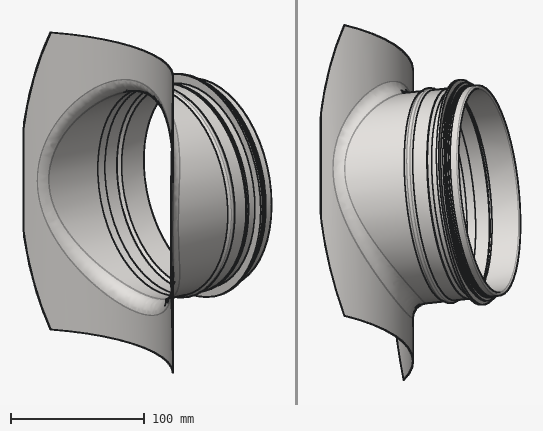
import cadquery as cq
import math

overall_width = 180.0
overall_depth = 104.61
overall_height = 231.0
wall = 0.5

cut_margin = 1.0

saddle_bore = 124.5
saddle_radius = saddle_bore + wall
end_width = 150.0
side_trim_radius = 436.0
collar_fillet = 10.5

pipe_radius = 79.3
pipe_bore = pipe_radius - wall
saddle_edge_y = math.sqrt(saddle_bore**2 - (overall_width / 2) ** 2)
mouth_y = saddle_edge_y + overall_depth

neck_radius = 77.7
neck_bore = 76.6
rim_length = 6.2
neck_end = 21.3
neck_slope_length = 2.8
inner_slope_offset = 0.6

bead_start = 35.6
bead_crest_start = 37.6
bead_crest_end = 40.1
bead_end = 42.3
bead_shoulder_radius = 80.6
bead_crest_radius = 81.1

band_radius = 80.1
band_start = 7.6
band_end = 9.2
band_end_radius = 79.9
outer_lip_radius = 82.2
outer_lip_start = 9.8
outer_lip_end = 11.1
inner_lip_radius = 84.7
inner_lip_start = 13.6
seal_end = 15.4


def pipe_section():
    """Half section of the pipe wall: x is the radius, y the distance behind the mouth."""
    plane = cq.Plane(origin=(0, mouth_y, 0), xDir=(1, 0, 0), normal=(0, 0, -1))
    return cq.Workplane(plane)


def revolve_section(section):
    return section.close().revolve(360, (0, 0, 0), (0, 1, 0))


def blended_tee(duct_radius, branch_radius, fillet_radius):
    """Upper half of a round bar along Z, with a round branch toward +Y blended into it."""
    bar = (
        cq.Workplane("XY")
        .moveTo(-duct_radius, 0)
        .threePointArc((0, duct_radius), (duct_radius, 0))
        .close()
        .extrude(overall_height / 2, both=True)
    )
    branch = cq.Workplane("XZ").circle(branch_radius).extrude(-mouth_y)
    reach = branch_radius + cut_margin
    meeting_box = cq.selectors.BoxSelector(
        (-reach, cut_margin, -reach),
        (reach, duct_radius + cut_margin, reach),
    )
    return bar.union(branch).edges(meeting_box).fillet(fillet_radius)


def side_trim():
    """Region kept when the saddle sides are cut to width and to arcs running across X."""
    corner_y = math.sqrt(saddle_radius**2 - (end_width / 2) ** 2)
    arc_center_y = corner_y + math.sqrt(side_trim_radius**2 - (overall_height / 2) ** 2)
    return (
        cq.Workplane("YZ")
        .center(arc_center_y, 0)
        .circle(side_trim_radius)
        .extrude(overall_width / 2, both=True)
    )


def neck_recess():
    """Ring removed outside the neck, between the rim and the slope up to full size."""
    return revolve_section(
        pipe_section()
        .moveTo(neck_radius, rim_length)
        .lineTo(neck_radius, neck_end)
        .lineTo(pipe_radius, neck_end + neck_slope_length)
        .lineTo(pipe_radius + cut_margin, neck_end + neck_slope_length)
        .lineTo(pipe_radius + cut_margin, rim_length)
    )


def neck_lining():
    """Ring added inside the pipe, from the mouth to the end of the inner slope."""
    slope_start = neck_end + inner_slope_offset
    slope_end = slope_start + neck_slope_length
    return revolve_section(
        pipe_section()
        .moveTo(neck_bore, 0)
        .lineTo(neck_bore, slope_start)
        .lineTo(pipe_bore, slope_end)
        .lineTo(pipe_bore + wall / 2, slope_end)
        .lineTo(pipe_bore + wall / 2, 0)
    )


def bead():
    crest_middle = (bead_crest_start + bead_crest_end) / 2
    return revolve_section(
        pipe_section()
        .moveTo(pipe_bore, bead_start)
        .lineTo(pipe_radius, bead_start)
        .lineTo(bead_shoulder_radius, bead_crest_start)
        .threePointArc((bead_crest_radius, crest_middle), (bead_shoulder_radius, bead_crest_end))
        .lineTo(pipe_radius, bead_end)
        .lineTo(pipe_bore, bead_end)
    )


def mouth_rounding():
    """Ring removed at the mouth to leave a fully round rolled edge."""
    edge_radius = (pipe_radius - neck_bore) / 2
    return revolve_section(
        pipe_section()
        .moveTo(neck_bore, edge_radius)
        .threePointArc((neck_bore + edge_radius, 0), (pipe_radius, edge_radius))
        .lineTo(pipe_radius + cut_margin, edge_radius)
        .lineTo(pipe_radius + cut_margin, -cut_margin)
        .lineTo(neck_bore - cut_margin, -cut_margin)
        .lineTo(neck_bore - cut_margin, edge_radius)
    )


def make_saddle_collar():
    outside = blended_tee(saddle_radius, pipe_radius, collar_fillet)
    inside = blended_tee(saddle_bore, pipe_bore, collar_fillet + wall)
    shell = outside.cut(inside).intersect(side_trim())
    return shell.union(neck_lining()).union(bead()).cut(neck_recess()).cut(mouth_rounding())


def make_seal():
    return revolve_section(
        pipe_section()
        .moveTo(neck_radius, rim_length)
        .lineTo(pipe_radius, rim_length)
        .lineTo(pipe_radius, band_start)
        .lineTo(band_radius, band_start)
        .lineTo(band_end_radius, band_end)
        .lineTo(pipe_radius, band_end)
        .lineTo(pipe_radius, outer_lip_start)
        .lineTo(outer_lip_radius, outer_lip_start)
        .lineTo(outer_lip_radius, outer_lip_end)
        .lineTo(pipe_radius, outer_lip_end)
        .lineTo(pipe_radius, inner_lip_start)
        .lineTo(inner_lip_radius, inner_lip_start)
        .lineTo(inner_lip_radius, seal_end)
        .lineTo(neck_radius, seal_end)
    )


saddle_collar = make_saddle_collar()
seal = make_seal()

result = cq.Compound.makeCompound([saddle_collar.solids().val(), seal.val()])